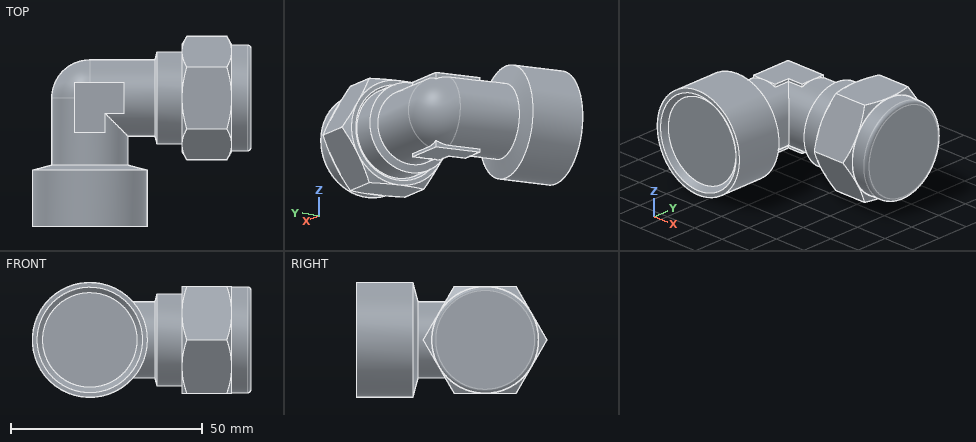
import cadquery as cq
import math

body_radius = 10.0
shoulder_slope = math.tan(math.radians(15))

socket_radius = 15.0
socket_end = 33.5
socket_shoulder_start = 17.45
recess_mouth_radius = 13.75
recess_floor_radius = 12.3
recess_depth = recess_mouth_radius - recess_floor_radius

collar_radius = 12.0
collar_start = 16.95
nut_start = 24.0
nut_end = 36.95
nut_flat_radius = 13.95
nut_corner_radius = nut_flat_radius / math.cos(math.radians(30))
nut_bevel_length = (nut_corner_radius - nut_flat_radius) * math.tan(math.radians(30))
countersink_radius = 12.7
countersink_depth = countersink_radius - collar_radius
cap_radius = 13.85
cap_end = 57 - socket_radius
cap_fillet = 0.95

pad_margin = 4.0
pad_reach = 8.95


def along_x(profile):
    """Revolve (x, radius) points about the X axis."""
    return cq.Workplane("XY").polyline(profile).close().revolve(360, (0, 0), (1, 0))


def along_y(profile):
    """Revolve (radius, y) points about the Y axis."""
    return cq.Workplane("XY").polyline(profile).close().revolve(360, (0, 0), (0, 1))


def make_elbow():
    bend = cq.Workplane("XY").sphere(body_radius)
    nut_leg = cq.Workplane("YZ").circle(body_radius).extrude(nut_start)
    socket_leg = cq.Workplane("XZ").circle(body_radius).extrude(socket_end - recess_depth)
    return bend.union(nut_leg).union(socket_leg)


def make_socket():
    shoulder_end = socket_shoulder_start + (socket_radius - body_radius) * shoulder_slope
    return along_y([
        (0, -socket_shoulder_start),
        (body_radius, -socket_shoulder_start),
        (socket_radius, -shoulder_end),
        (socket_radius, -socket_end),
        (recess_mouth_radius, -socket_end),
        (recess_floor_radius, -socket_end + recess_depth),
        (0, -socket_end + recess_depth),
    ])


def make_collar():
    shoulder_end = collar_start + (collar_radius - body_radius) * shoulder_slope
    collar_end = nut_start + countersink_depth
    return along_x([
        (collar_start, 0),
        (collar_start, body_radius),
        (shoulder_end, collar_radius),
        (collar_end, collar_radius),
        (collar_end, 0),
    ])


def make_nut():
    hexagon = (
        cq.Workplane("YZ", origin=(nut_start, 0, 0))
        .polygon(6, 2 * nut_corner_radius)
        .extrude(nut_end - nut_start)
    )
    envelope = along_x([
        (nut_start + countersink_depth, 0),
        (nut_start + countersink_depth, collar_radius),
        (nut_start, countersink_radius),
        (nut_start, nut_flat_radius),
        (nut_start + nut_bevel_length, nut_corner_radius),
        (nut_end - nut_bevel_length, nut_corner_radius),
        (nut_end, nut_flat_radius),
        (nut_end, 0),
    ])
    return hexagon.intersect(envelope)


def make_cap():
    return (
        cq.Workplane("YZ", origin=(nut_end, 0, 0))
        .circle(cap_radius)
        .extrude(cap_end - nut_end)
        .faces(">X")
        .edges()
        .fillet(cap_fillet)
    )


def make_pads():
    """One L-shaped block through the bend, flush with its highest and lowest lines."""
    outline = [
        (-pad_margin, pad_margin),
        (pad_reach, pad_margin),
        (pad_reach, -pad_margin),
        (pad_margin, -pad_margin),
        (pad_margin, -pad_reach),
        (-pad_margin, -pad_reach),
    ]
    return cq.Workplane("XY").polyline(outline).close().extrude(body_radius, both=True)


result = (
    make_elbow()
    .union(make_socket())
    .union(make_collar())
    .union(make_nut())
    .union(make_cap())
    .union(make_pads())
)